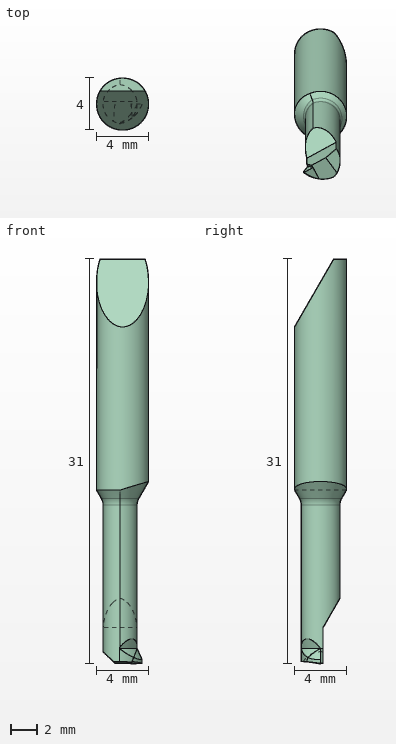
import cadquery as cq
import math

total_length = 31.0
shank_radius = 2.0
margin = 1.0
big = 2 * total_length

neck_arc_radius = 1.5
arc_offset = 0.38
neck_right_x = neck_arc_radius - arc_offset

slope_angle = math.radians(60)
slope = math.tan(slope_angle)
shoulder_z = 12.45
shoulder_fillet = 1.0

top_land_y = 1.0
flat_y = 0.2
flat_top_z = 2.8

end_bevel_z = 0.95
end_bevel_angle = 44.0
holder_end_z = 0.05
holder_end_angle = 5.0
tip_end_angle = 10.0
tip_dish_angle = 4.0

relief_start_x = -0.25
relief_start_y = -math.sqrt(neck_arc_radius**2 - relief_start_x**2)
groove_radius = 3.0
groove_z = 1.2
relief_top_z = 2.8
groove_run_in = math.tan(math.radians(17))
flank_radius = 2.2
tip_reach_x = 1.49
tip_land_z = 0.3
flank_flare = (tip_reach_x - neck_right_x) / (groove_z - tip_land_z)

joint_bottom_x = 0.65


def cylinder(x, y, radius):
    return cq.Workplane("XY").center(x, y).circle(radius).extrude(total_length)


def arc_center(x1, y1, x2, y2, radius):
    """Centre of the circle through two points, on the left of the way from the first to the second."""
    chord = math.hypot(x2 - x1, y2 - y1)
    height = math.sqrt(radius**2 - (chord / 2) ** 2)
    x = (x1 + x2) / 2 - height * (y2 - y1) / chord
    y = (y1 + y2) / 2 + height * (x2 - x1) / chord
    return x, y


def prism_along_x(points):
    """Prism across the whole width, from (y, z) points."""
    return cq.Workplane("YZ").polyline(points).close().extrude(big, both=True)


def prism_along_y(points):
    """Prism across the whole depth, from (x, z) points."""
    return cq.Workplane("XZ").polyline(points).close().extrude(big, both=True)


def flared_neck(center_x):
    """Round neck with a filleted conical shoulder that opens out beyond the shank."""
    half_turn = (math.pi / 2 - slope_angle) / 2
    tangent = shoulder_fillet * math.tan(half_turn)
    blend_x = neck_arc_radius + tangent * math.cos(slope_angle)
    blend_z = shoulder_z + tangent * math.sin(slope_angle)
    mid_x = neck_arc_radius + shoulder_fillet * (1 - math.cos(half_turn))
    mid_z = shoulder_z - tangent + shoulder_fillet * math.sin(half_turn)
    wide_radius = shank_radius + margin
    cone_top_z = shoulder_z + (wide_radius - neck_arc_radius) * slope
    profile = (
        cq.Workplane("XZ")
        .lineTo(neck_arc_radius, 0)
        .lineTo(neck_arc_radius, shoulder_z - tangent)
        .threePointArc((mid_x, mid_z), (blend_x, blend_z))
        .lineTo(wide_radius, cone_top_z)
        .lineTo(wide_radius, total_length)
        .lineTo(0, total_length)
        .close()
    )
    return profile.revolve(360, (0, 0), (0, 1)).translate((center_x, 0, 0))


def double_cone():
    """Hourglass solid whose waist is the deepest line of the relief."""
    x, y = arc_center(relief_start_x, relief_start_y, neck_right_x, 0, groove_radius)
    run_in_height = relief_top_z - groove_z
    profile = (
        cq.Workplane("XZ")
        .lineTo(groove_radius + flank_flare * groove_z, 0)
        .lineTo(groove_radius, groove_z)
        .lineTo(groove_radius + groove_run_in * run_in_height, relief_top_z)
        .lineTo(0, relief_top_z)
        .close()
    )
    return profile.revolve(360, (0, 0), (0, 1)).translate((x, y, 0))


def flank_cylinder():
    x, y = arc_center(relief_start_x, relief_start_y, tip_reach_x, 0, flank_radius)
    return cylinder(x, y, flank_radius)


def slab(bottom_z, top_z):
    height = top_z - bottom_z
    return cq.Workplane("XY").workplane(offset=bottom_z).rect(big, big).extrude(height)


def end_clearance(edge_y, edge_z, angle):
    """Everything under an end face that rises towards the front from its back edge."""
    rise = math.tan(math.radians(angle))
    front_y = -shank_radius - margin
    back_y = shank_radius + margin
    return prism_along_x([
        (front_y, edge_z + rise * (edge_y - front_y)),
        (edge_y, edge_z),
        (back_y, edge_z),
        (back_y, -margin),
        (front_y, -margin),
    ])


def top_bevel():
    front_y = -shank_radius - margin
    return prism_along_x([
        (top_land_y, total_length),
        (front_y, total_length - (top_land_y - front_y) * slope),
        (front_y, total_length),
    ])


def back_flat():
    back_y = shank_radius + margin
    return prism_along_x([
        (flat_y, -margin),
        (flat_y, flat_top_z),
        (back_y, flat_top_z + (back_y - flat_y) * slope),
        (back_y, -margin),
    ])


def end_bevel():
    fall = math.tan(math.radians(end_bevel_angle))
    left_x = -neck_arc_radius - margin
    toe_x = -neck_arc_radius + (end_bevel_z + margin) / fall
    return prism_along_y([
        (left_x, end_bevel_z + margin * fall),
        (toe_x, -margin),
        (left_x, -margin),
    ])


def tip_side():
    """Everything on the tip's side of the joint, up to the waist of the relief."""
    right_x = shank_radius + margin
    return prism_along_y([
        (joint_bottom_x, 0),
        (neck_right_x, groove_z),
        (right_x, groove_z),
        (right_x, 0),
    ])


relieved = double_cone().intersect(cylinder(0, 0, neck_arc_radius))
lower_end = relieved.intersect(flank_cylinder()).intersect(slab(0, groove_z))
neck_bar = flared_neck(0).intersect(flared_neck(-arc_offset)).intersect(cylinder(0, 0, shank_radius))
groove_run = relieved.intersect(neck_bar).intersect(slab(groove_z, relief_top_z))
upper_bar = neck_bar.intersect(slab(relief_top_z, total_length))

holder = upper_bar.union(groove_run).union(lower_end.cut(tip_side()))
holder = holder.cut(top_bevel()).cut(back_flat()).cut(end_bevel())
holder = holder.cut(end_clearance(flat_y, holder_end_z, holder_end_angle))

front_half = cq.Workplane("XY").rect(big, big).extrude(total_length).translate((0, -big / 2, 0))
tip = lower_end.intersect(tip_side()).intersect(front_half)
tip_clearance = end_clearance(0, 0, tip_end_angle).rotate(
    (joint_bottom_x, 0, 0), (joint_bottom_x, 1, 0), -tip_dish_angle
)
tip = tip.cut(tip_clearance)

result = cq.Compound.makeCompound([holder.val(), tip.val()])